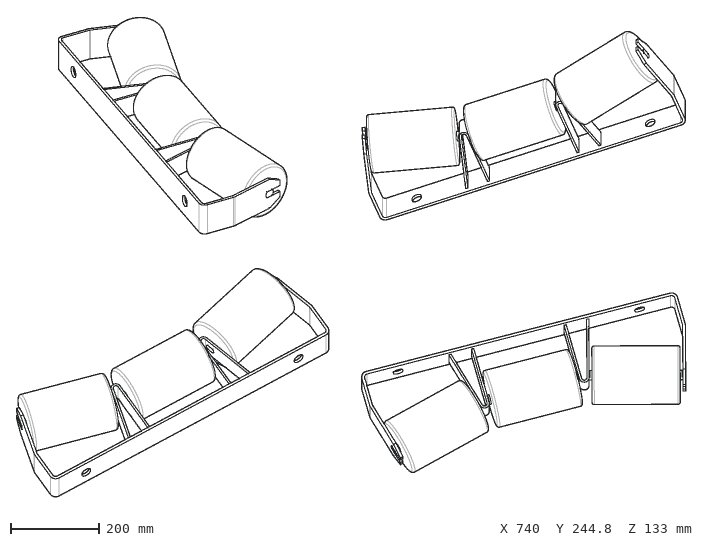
import cadquery as cq
import math

frame_length = 740.0
roller_tilt = 15.0

channel_strip_height = 80.0
channel_thickness = 7.0
channel_bend_radius = 14.0
arm_bend_height = 81.0
arm_axis_run = 104.0
arm_tip_run = 31.0
arm_taper_length = 31.0
arm_taper_depth = 17.0

mount_hole_spacing = 566.0
mount_hole_width = 22.0
mount_hole_height = 27.0

bracket_strip_height = 53.0
bracket_thickness = 5.0
bracket_bend_radius = 11.0
bracket_bend_height = 140.0
bracket_face = 106.0

roller_diameter = 133.0
roller_length = 200.0
roller_edge_radius = 5.0
axle_diameter = 22.0
axle_flat_width = 16.0
axle_height = 125.0
end_gap = 6.0
shoulder_gap = 2.0

tilt = math.radians(roller_tilt)
roller_radius = roller_diameter / 2
axle_radius = axle_diameter / 2


def along(start, distance, degrees):
    """Point at a distance from start in the given direction in the XY plane."""
    angle = math.radians(degrees)
    return (start[0] + distance * math.cos(angle), start[1] + distance * math.sin(angle))


inward = -roller_tilt
outward = 180 - roller_tilt
up_arm = 90 - roller_tilt
down_arm = up_arm - 180

corner_bend = (channel_bend_radius - frame_length / 2, channel_bend_radius)
arm_bend = (corner_bend[0], arm_bend_height)
bracket_bend = (-bracket_face - bracket_bend_radius, bracket_bend_height)
arm_axis_point = along(along(arm_bend, channel_bend_radius, outward), arm_axis_run, up_arm)
roller_reach = channel_thickness + end_gap + roller_length / 2
left_centre = along(arm_axis_point, roller_reach, inward)

bracket_leg_distance = (
    (bracket_bend[0] - left_centre[0]) * math.cos(tilt)
    - (bracket_bend[1] - left_centre[1]) * math.sin(tilt)
    - bracket_bend_radius
)


def extrude_strip(outline, height):
    return outline.close().extrude(height / 2, both=True)


def axle_section(plane, length):
    """Flatted bar section, flats facing up and down, extruded along the plane normal."""
    bar = cq.Workplane(plane).circle(axle_radius).extrude(length)
    flats = cq.Workplane(plane).rect(axle_diameter, axle_flat_width).extrude(length)
    return bar.intersect(flats)


def plane_across_axis(point, degrees):
    """Plane whose normal runs in the XY plane and whose local Y is the part's Z."""
    x_direction = along((0, 0), 1, degrees + 90)
    normal = along((0, 0), 1, degrees)
    return cq.Plane(origin=(*point, 0), xDir=(*x_direction, 0), normal=(*normal, 0))


def left_channel():
    """Half of the channel: half the back plate, the corner and the leaning arm."""
    outer = channel_bend_radius
    inner = channel_bend_radius - channel_thickness
    arm_length = arm_axis_run + arm_tip_run
    mid_lean = 180 - roller_tilt / 2
    arm_outer = along(arm_bend, outer, outward)
    arm_inner = along(arm_bend, inner, outward)
    outline = (
        cq.Workplane("XY")
        .moveTo(0, 0)
        .lineTo(corner_bend[0], 0)
        .threePointArc(along(corner_bend, outer, 225), along(corner_bend, outer, 180))
        .lineTo(*along(arm_bend, outer, 180))
        .threePointArc(along(arm_bend, outer, mid_lean), arm_outer)
        .lineTo(*along(arm_outer, arm_length, up_arm))
        .lineTo(*along(arm_inner, arm_length, up_arm))
        .lineTo(*arm_inner)
        .threePointArc(along(arm_bend, inner, mid_lean), along(arm_bend, inner, 180))
        .lineTo(*along(corner_bend, inner, 180))
        .threePointArc(along(corner_bend, inner, 225), along(corner_bend, inner, 270))
        .lineTo(0, channel_thickness)
    )
    return extrude_strip(outline, channel_strip_height).cut(arm_tip_tapers()).cut(arm_slot())


def arm_tip_tapers():
    """Wedges that narrow the arm tip from above and below."""
    plane = plane_across_axis(arm_axis_point, inward)
    half = channel_strip_height / 2
    upper = (
        cq.Workplane(plane)
        .moveTo(arm_tip_run, half)
        .lineTo(arm_tip_run - arm_taper_length, half)
        .lineTo(arm_tip_run, half - arm_taper_depth)
        .close()
        .extrude(channel_thickness)
    )
    return upper.union(upper.mirror("XY"))


def arm_slot():
    """Open slot whose bottom fits the flatted axle."""
    plane = plane_across_axis(arm_axis_point, inward)
    mouth = (
        cq.Workplane(plane)
        .center(arm_tip_run / 2, 0)
        .rect(arm_tip_run, axle_flat_width)
        .extrude(channel_thickness)
    )
    return mouth.union(axle_section(plane, channel_thickness))


def left_bracket():
    """Hairpin strip standing on the back plate, with a hole for the left roller's axle."""
    outer = bracket_bend_radius
    inner = bracket_bend_radius - bracket_thickness
    mid_bend = outward / 2

    def leaning_foot(radius):
        top = along(bracket_bend, radius, outward)
        return along(top, (top[1] - channel_thickness) / math.cos(tilt), down_arm)

    outline = (
        cq.Workplane("XY")
        .moveTo(bracket_bend[0] + outer, channel_thickness)
        .lineTo(*along(bracket_bend, outer, 0))
        .threePointArc(along(bracket_bend, outer, mid_bend), along(bracket_bend, outer, outward))
        .lineTo(*leaning_foot(outer))
        .lineTo(*leaning_foot(inner))
        .lineTo(*along(bracket_bend, inner, outward))
        .threePointArc(along(bracket_bend, inner, mid_bend), along(bracket_bend, inner, 0))
        .lineTo(bracket_bend[0] + inner, channel_thickness)
    )
    leg_plane = plane_across_axis(along(left_centre, bracket_leg_distance, inward), inward)
    return extrude_strip(outline, bracket_strip_height).cut(axle_section(leg_plane, bracket_thickness))


def axle_end(centre, degrees, strip_distance, insertion):
    """Axle from the roller centre outwards; only its flatted end enters the strip."""
    plane = plane_across_axis(centre, degrees)
    round_part = cq.Workplane(plane).circle(axle_radius).extrude(strip_distance - shoulder_gap)
    return round_part.union(axle_section(plane, strip_distance + insertion))


def roller_drum(centre, degrees):
    """Cylinder with rounded rims, its axis in the XY plane."""
    start = along(centre, -roller_length / 2, degrees)
    drum = cq.Workplane(plane_across_axis(start, degrees)).circle(roller_radius).extrude(roller_length)
    return drum.edges().fillet(roller_edge_radius)


def left_roller():
    """Drum and axle in one piece, held by the channel arm and the bracket."""
    arm_distance = roller_length / 2 + end_gap
    arm_end = axle_end(left_centre, outward, arm_distance, channel_thickness)
    bracket_end = axle_end(left_centre, inward, bracket_leg_distance, bracket_thickness)
    return roller_drum(left_centre, inward).union(arm_end).union(bracket_end)


def mount_holes():
    return (
        cq.Workplane("XZ")
        .pushPoints([(-mount_hole_spacing / 2, 0), (mount_hole_spacing / 2, 0)])
        .slot2D(mount_hole_height, mount_hole_width, 90)
        .extrude(-channel_thickness)
    )


def build_frame():
    """Channel, both brackets and the middle roller, joined in one piece."""
    left_half = left_channel().union(left_bracket())
    frame = left_half.union(left_half.mirror("YZ")).cut(mount_holes())
    middle = (0, axle_height)
    frame = frame.union(roller_drum(middle, 0))
    for degrees in (0, 180):
        frame = frame.union(axle_end(middle, degrees, bracket_face, bracket_thickness))
    return frame


frame = build_frame().solids()
left_outer_roller = left_roller().solids()
right_outer_roller = left_outer_roller.mirror("YZ").solids()

result = cq.Compound.makeCompound([frame.val(), left_outer_roller.val(), right_outer_roller.val()])